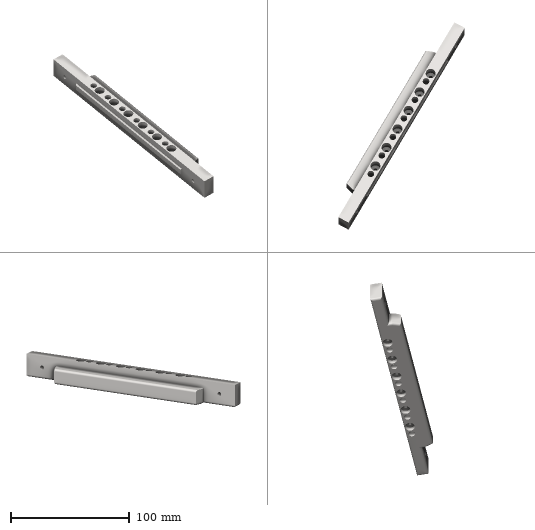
import cadquery as cq

bar_length = 200.0
bar_width = 10.0
bar_height = 20.0
edge_radius = 2.0

flange_length = 140.8
flange_depth = 10.0
flange_height = 13.5
flange_straight_depth = 3.0
flange_end_inset = 2.5

strip_length = 140.5
strip_height = 7.0
strip_projection = 1.0
strip_bevel = 1.0

cross_hole_diameter = 3.5
cross_hole_end_distance = 15.0

hole_count = 6
hole_pitch = 19.0
plain_hole_diameter = 5.5
plain_hole_start = -52.8
screw_hole_offset = 8.0
screw_hole_diameter = 3.0
counterbore_diameter = 8.5
counterbore_depth = 10.0
base_recess_diameter = 8.5
base_recess_depth = 4.0


def make_body():
    """Bar and tapered flange, rounded along the base and the flange's rear top edge."""
    bar = cq.Workplane("XY").box(bar_length, bar_width, bar_height, centered=(True, False, False))
    half_root = flange_length / 2
    half_rear = half_root - flange_end_inset
    taper_start = bar_width + flange_straight_depth
    rear = bar_width + flange_depth
    flange = (
        cq.Workplane("XY")
        .polyline([
            (-half_root, bar_width),
            (half_root, bar_width),
            (half_root, taper_start),
            (half_rear, rear),
            (-half_rear, rear),
            (-half_root, taper_start),
        ])
        .close()
        .extrude(flange_height)
    )
    body = bar.union(flange)
    rear_top_edge = cq.selectors.NearestToPointSelector((0, rear, flange_height))
    body = body.edges(rear_top_edge).fillet(edge_radius)
    return body.faces("<Z").edges().fillet(edge_radius)


def make_strip():
    """Strip with all four sides bevelled towards its outer face."""
    return (
        cq.Workplane("XZ")
        .center(0, bar_height / 2)
        .rect(strip_length, strip_height)
        .workplane(offset=strip_projection)
        .rect(strip_length - 2 * strip_bevel, strip_height - 2 * strip_bevel)
        .loft(ruled=True)
    )


def vertical_holes(start, diameter, bottom, depth):
    """Row of upright cylinders to cut from the bar, beginning at X = start."""
    positions = [(start + i * hole_pitch, bar_width / 2) for i in range(hole_count)]
    return (
        cq.Workplane("XY", origin=(0, 0, bottom))
        .pushPoints(positions)
        .circle(diameter / 2)
        .extrude(depth)
    )


def cross_holes():
    """Pair of cylinders along Y, one near each end of the bar."""
    hole_x = bar_length / 2 - cross_hole_end_distance
    return (
        cq.Workplane("XZ")
        .pushPoints([(-hole_x, bar_height / 2), (hole_x, bar_height / 2)])
        .circle(cross_hole_diameter / 2)
        .extrude(-bar_width)
    )


screw_hole_start = plain_hole_start + screw_hole_offset
counterbore_floor = bar_height - counterbore_depth

result = (
    make_body()
    .union(make_strip())
    .cut(cross_holes())
    .cut(vertical_holes(plain_hole_start, plain_hole_diameter, 0, bar_height))
    .cut(vertical_holes(screw_hole_start, screw_hole_diameter, 0, bar_height))
    .cut(vertical_holes(screw_hole_start, counterbore_diameter, counterbore_floor, counterbore_depth))
    .cut(vertical_holes(screw_hole_start, base_recess_diameter, 0, base_recess_depth))
)